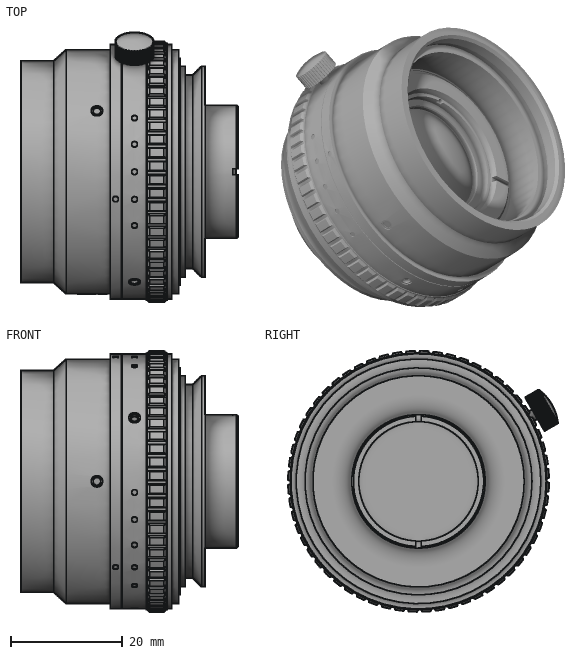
import cadquery as cq
import math


front_rim_end = 5.9
front_rim_radius = 20.0
body_start = 8.1
body_radius = 22.0
index_ring_start = 16.05
scale_ring_start = 18.15
ring_radius = 22.95
grip_base_start = 22.5
grip_base_end = 26.35
grip_base_radius = 23.1
grip_radius = 23.51
tooth_inset = 0.25
grip_chamfer = grip_radius - grip_base_radius
tooth_start = grip_base_start + tooth_inset
tooth_end = grip_base_end - tooth_inset
ring_end = 27.15
rear_step_end = 28.4
shim_end = 28.65
shim_radius = 20.4
flange_neck_start = 29.55
flange_radius = 19.0
neck_end = 30.9
neck_radius = 17.45
flange_bevel = flange_radius - neck_radius
flange_end = 33.1
barrel_radius = 12.0
barrel_chamfer = 0.3
length = 39.05

mouth_radius = 18.05
mouth_chamfer = 0.5
undercut_start = 2.55
undercut_radius = 18.3
shoulder_x = 3.7
bore_radius = 16.8
bore_floor = 11.0
gap_radius = 16.505
gap_floor = 11.15
retainer_face = 10.1
retainer_radius = 15.95
retainer_chamfer = 0.55
retainer_hole_radius = 12.55
inner_ring_face = 11.3
inner_ring_radius = 12.15
inner_ring_hole_radius = 11.5
lens_seat_x = 12.7
lens_seat_radius = 10.3
lens_seat_chamfer = 0.2
lens_edge_x = 13.6
lens_apex_x = 10.9
lens_edge_radius = 9.85

retainer_slot_width = 1.0
spanner_hole_diameter = 1.0
spanner_hole_depth = 0.75
retainer_slot_depth = 0.95
rear_slot_width = 1.0
rear_slot_depth = 0.9
rear_recess_radius = 10.75
rear_recess_depth = 0.35

tooth_count = 60
tooth_pitch = 360 / tooth_count
groove_phase = 0.5
groove_root_width = 0.55
groove_flank_angle = 28

seam_size = 0.15

third_turn = 120
mark_diameter = 1.0
mark_depth = 0.15
index_dot_x = 17.0
index_dot_angle = 102.4
scale_mark_x = 20.4
scale_dot_pitch = 12.5
scale_dot_middle = 90
screw_diameter = 2.05
screw_recess = 0.15
screw_socket_diameter = 1.4
body_screw_x = 13.65
body_screw_angle = 60
body_socket_depth = 0.1
ring_socket_depth = 0.75

thumb_angle = 30
thumb_head_bottom = 24.15
thumb_head_top = 27.0
thumb_dome_top = 27.7
thumb_head_radius = 3.5
thumb_stem_diameter = 2.0
flute_count = 40
flute_radius = 0.15

CUT_MARGIN = 0.95


def revolve_about_x(profile):
    """Revolve a closed (X, radius) outline a full turn about the X axis."""
    return profile.close().revolve(360, (0, 0, 0), (1, 0, 0))


def tube(start, depth, outer_radius, inner_radius):
    """Ring-shaped solid along X."""
    plane = cq.Workplane("YZ", origin=(start, 0, 0))
    return plane.circle(outer_radius).circle(inner_radius).extrude(depth)


def radial_plane(x, angle, radius):
    """Plane facing away from the X axis; the angle runs from +Y towards +Z."""
    turn = math.radians(angle)
    outward = (0, math.cos(turn), math.sin(turn))
    origin = (x, radius * outward[1], radius * outward[2])
    return cq.Workplane(cq.Plane(origin=origin, xDir=(1, 0, 0), normal=outward))


def radial_hole(x, angle, diameter, surface_radius, depth):
    """Round cutter that reaches the given depth below a cylindrical surface."""
    plane = radial_plane(x, angle, surface_radius - depth)
    return plane.circle(diameter / 2).extrude(depth + CUT_MARGIN)


def lens_body():
    """Solid of revolution with the front opening and the domed glass at its bottom."""
    outside = [
        (0, front_rim_radius),
        (front_rim_end, front_rim_radius),
        (body_start, body_radius),
        (index_ring_start, body_radius),
        (index_ring_start, ring_radius),
        (grip_base_start, ring_radius),
        (grip_base_start, grip_base_radius),
        (tooth_start, grip_base_radius),
        (tooth_start + grip_chamfer, grip_radius),
        (tooth_end - grip_chamfer, grip_radius),
        (tooth_end, grip_base_radius),
        (grip_base_end, grip_base_radius),
        (grip_base_end, ring_radius),
        (ring_end, ring_radius),
        (ring_end, body_radius),
        (rear_step_end, body_radius),
        (rear_step_end, shim_radius),
        (shim_end, shim_radius),
        (shim_end, flange_radius),
        (flange_neck_start, flange_radius),
        (flange_neck_start, neck_radius),
        (neck_end, neck_radius),
        (neck_end + flange_bevel, flange_radius),
        (flange_end, flange_radius),
        (flange_end, barrel_radius),
        (length - barrel_chamfer, barrel_radius),
        (length, barrel_radius - barrel_chamfer),
        (length, rear_recess_radius),
        (length - rear_recess_depth, rear_recess_radius),
        (length - rear_recess_depth, 0),
        (lens_apex_x, 0),
    ]
    opening = [
        (lens_edge_x, lens_seat_radius - lens_seat_chamfer),
        (lens_seat_x + lens_seat_chamfer, lens_seat_radius - lens_seat_chamfer),
        (lens_seat_x, lens_seat_radius),
        (lens_seat_x, inner_ring_hole_radius),
        (inner_ring_face, inner_ring_hole_radius),
        (inner_ring_face, inner_ring_radius),
        (retainer_face, retainer_hole_radius),
        (retainer_face, retainer_radius - retainer_chamfer),
        (retainer_face + retainer_chamfer, retainer_radius),
        (gap_floor, retainer_radius),
        (gap_floor, gap_radius),
        (bore_floor, gap_radius),
        (bore_floor, bore_radius),
        (shoulder_x, bore_radius),
        (shoulder_x, undercut_radius),
        (undercut_start, undercut_radius),
        (undercut_start, mouth_radius),
        (mouth_chamfer, mouth_radius),
        (0, mouth_radius + mouth_chamfer),
    ]
    sag = lens_edge_x - lens_apex_x
    sphere_radius = (lens_edge_radius**2 + sag**2) / (2 * sag)
    half_angle = math.asin(lens_edge_radius / sphere_radius) / 2
    dome_middle = (
        lens_apex_x + sphere_radius * (1 - math.cos(half_angle)),
        sphere_radius * math.sin(half_angle),
    )
    profile = cq.Workplane("XY").polyline(outside)
    profile = profile.threePointArc(dome_middle, (lens_edge_x, lens_edge_radius))
    for point in opening:
        profile = profile.lineTo(*point)
    return revolve_about_x(profile)


def scale_ring_seam():
    """Fine groove in front of the scale ring."""
    seam_start = scale_ring_start - seam_size / 2
    return tube(seam_start, seam_size, ring_radius + CUT_MARGIN, ring_radius - seam_size)


def grip_grooves():
    """Trapezoid grooves with sloping flanks that leave the grip teeth standing."""
    height = grip_radius - grip_base_radius + CUT_MARGIN
    half_root = groove_root_width / 2
    half_mouth = half_root + height * math.tan(math.radians(groove_flank_angle))
    outline = [
        (grip_base_radius, -half_root),
        (grip_base_radius, half_root),
        (grip_base_radius + height, half_mouth),
        (grip_base_radius + height, -half_mouth),
    ]
    plane = cq.Workplane("YZ", origin=(grip_base_start, 0, 0))
    groove = plane.polyline(outline).close().extrude(grip_base_end - grip_base_start)
    grooves = cq.Workplane("XY")
    for index in range(tooth_count):
        angle = groove_phase + index * tooth_pitch
        grooves = grooves.add(groove.rotate((0, 0, 0), (1, 0, 0), angle))
    return grooves


def engraved_dots():
    """Index dot and five scale dots in each third of the circumference."""
    dots = cq.Workplane("XY")
    for turn in (0, third_turn, 2 * third_turn):
        dots = dots.add(
            radial_hole(index_dot_x, index_dot_angle + turn, mark_diameter, ring_radius, mark_depth)
        )
        for step in range(-2, 3):
            angle = scale_dot_middle + step * scale_dot_pitch + turn
            dots = dots.add(radial_hole(scale_mark_x, angle, mark_diameter, ring_radius, mark_depth))
    return dots


def set_screw(x, angle, surface_radius, socket_depth):
    """Recessed set screw head with a round socket."""
    recess = radial_hole(x, angle, screw_diameter, surface_radius, screw_recess)
    socket = radial_hole(x, angle, screw_socket_diameter, surface_radius, screw_recess + socket_depth)
    return recess.union(socket)


def set_screws():
    """Three screws in the body, and two in the scale ring beside the thumb screw."""
    screws = cq.Workplane("XY")
    for turn in (0, third_turn, 2 * third_turn):
        screws = screws.add(set_screw(body_screw_x, body_screw_angle + turn, body_radius, body_socket_depth))
    for turn in (third_turn, 2 * third_turn):
        screws = screws.add(set_screw(scale_mark_x, thumb_angle + turn, ring_radius, ring_socket_depth))
    return screws


def spanner_cuts():
    """Slots and holes for tightening the front rings, and slots in the rear barrel."""
    slot_bar = cq.Workplane("XY").box(2 * length, 4 * retainer_radius, retainer_slot_width)
    front_ring = tube(retainer_face, retainer_slot_depth, retainer_radius, inner_ring_radius)
    slots = front_ring.intersect(slot_bar)
    holes = cq.Workplane("YZ", origin=(inner_ring_face, 0, 0))
    holes = holes.pushPoints([(0, inner_ring_hole_radius), (0, -inner_ring_hole_radius)])
    holes = holes.circle(spanner_hole_diameter / 2).extrude(spanner_hole_depth)
    rear_slot_start = length - rear_slot_depth
    rear_ring = tube(rear_slot_start, rear_slot_depth, barrel_radius + CUT_MARGIN, rear_recess_radius)
    rear_bar = cq.Workplane("XY").box(2 * length, rear_slot_width, 4 * barrel_radius)
    return slots.add(holes).add(rear_ring.intersect(rear_bar))


def thumb_screw():
    """Fluted, domed head on a plain stem that enters the scale ring."""
    head_height = thumb_head_top - thumb_head_bottom
    stem_start = ring_radius - CUT_MARGIN
    stem = radial_plane(scale_mark_x, thumb_angle, stem_start)
    stem = stem.circle(thumb_stem_diameter / 2).extrude(thumb_head_bottom - stem_start)

    head_plane = radial_plane(scale_mark_x, thumb_angle, thumb_head_bottom)
    head = head_plane.circle(thumb_head_radius).extrude(head_height)
    dome_height = thumb_dome_top - thumb_head_top
    dome_sphere_radius = (thumb_head_radius**2 + dome_height**2) / (2 * dome_height)
    sphere_centre = thumb_dome_top - dome_sphere_radius
    sphere = radial_plane(scale_mark_x, thumb_angle, sphere_centre).sphere(dome_sphere_radius)
    cap_plane = radial_plane(scale_mark_x, thumb_angle, thumb_head_top)
    cap = cap_plane.circle(thumb_head_radius).extrude(dome_height)
    head = head.union(cap.intersect(sphere))

    flutes = head_plane.polarArray(thumb_head_radius, 0, 360, flute_count)
    flutes = flutes.circle(flute_radius).extrude(head_height + dome_height)
    return head.cut(flutes).union(stem)


result = lens_body()
for cutters in (scale_ring_seam(), grip_grooves(), engraved_dots(), set_screws(), spanner_cuts()):
    result = result.cut(cq.Workplane(cq.Compound.makeCompound(cutters.vals())))
result = result.union(thumb_screw())